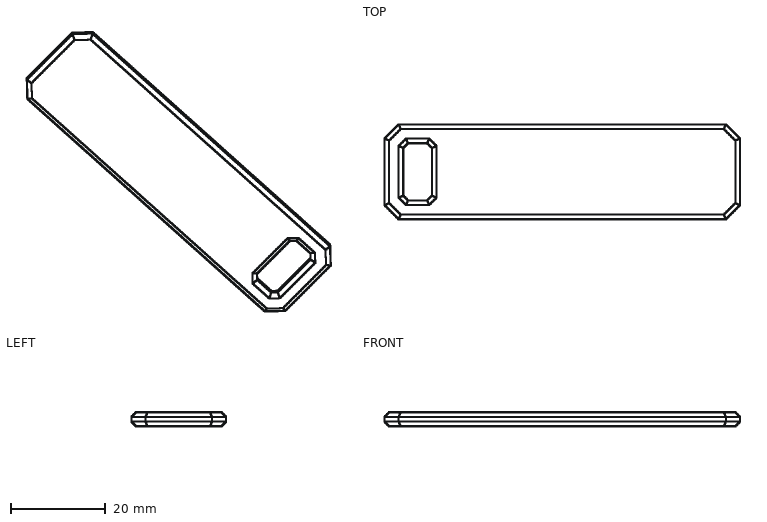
import cadquery as cq

length = 75.0
width = 20.0
thickness = 3.0
corner_cut = 3.0

edge_chamfer = thickness / 3

slot_length_x = 6.0
slot_length_y = 12.0
slot_corner_cut = 1.0
end_rim = 3.0
slot_center_x = -length / 2 + end_rim + edge_chamfer + slot_length_x / 2


def cut_corner_block(size_x, size_y, cut):
    """Block of the plate's thickness, standing on Z = 0, with its four upright corners cut off."""
    block = cq.Workplane("XY").box(size_x, size_y, thickness, centered=(True, True, False))
    return block.edges("|Z").chamfer(cut)


def make_plate():
    """Plate with both rims bevelled all the way round."""
    return cut_corner_block(length, width, corner_cut).faces("<Z or >Z").edges().chamfer(edge_chamfer)


def cut_slot(plate):
    """Cut the slot through the plate and bevel its two mouths."""
    slot = cut_corner_block(slot_length_x, slot_length_y, slot_corner_cut).translate((slot_center_x, 0, 0))
    pierced = plate.cut(slot)
    around_slot = cq.selectors.BoxSelector(
        (slot_center_x - slot_length_x, -slot_length_y, -thickness),
        (slot_center_x + slot_length_x, slot_length_y, 2 * thickness),
    )
    mouths = pierced.faces("<Z or >Z").wires(around_slot)
    return mouths.edges().chamfer(edge_chamfer)


result = cut_slot(make_plate()).solids()